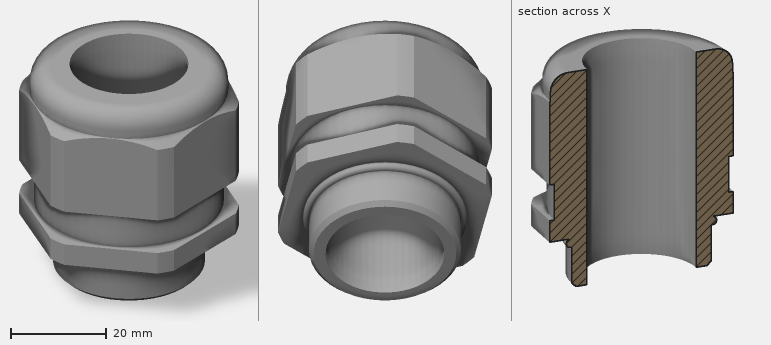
import cadquery as cq

total_height = 49.0
seal_bottom = 9.1
flange_bottom = 11.0
flange_top = 16.0
nut_bottom = 24.0
nut_top = 43.0

across_flats = 42.0
corner_diameter = 46.5
hex_turn = 30.0
thread_diameter = 32.0
seal_diameter = 34.5
body_diameter = 40.0
dome_diameter = 41.8
bore_diameter = 25.0

thread_chamfer = 1.0
dome_rounding = 4.0
nut_chamfer_width = (corner_diameter - dome_diameter) / 2
nut_chamfer_height = 1.8


def cylinder(diameter, bottom, top):
    return cq.Workplane("XY").workplane(offset=bottom).circle(diameter / 2).extrude(top - bottom)


def hexagon(bottom, top):
    """Hexagonal prism with flats facing +Y and -Y."""
    return (
        cq.Workplane("XY")
        .workplane(offset=bottom)
        .polygon(6, across_flats, circumscribed=True)
        .extrude(top - bottom)
        .rotate((0, 0, 0), (0, 0, 1), hex_turn)
    )


def entry_thread():
    return cylinder(thread_diameter, 0, seal_bottom).faces("<Z").chamfer(thread_chamfer)


def seal_ring():
    """Ring with a half-round outer edge, filling the gap under the flange."""
    rounding = (flange_bottom - seal_bottom) / 2
    outer_radius = seal_diameter / 2
    shoulder_radius = outer_radius - rounding
    return (
        cq.Workplane("XZ")
        .moveTo(bore_diameter / 2, seal_bottom)
        .lineTo(shoulder_radius, seal_bottom)
        .threePointArc((outer_radius, seal_bottom + rounding), (shoulder_radius, flange_bottom))
        .lineTo(bore_diameter / 2, flange_bottom)
        .close()
        .revolve(360, (0, 0, 0), (0, 1, 0))
    )


def hex_flange():
    """Hexagon whose corners are turned down to the corner diameter."""
    corner_limit = cylinder(corner_diameter, flange_bottom, flange_top)
    return hexagon(flange_bottom, flange_top).intersect(corner_limit)


def cap_nut():
    """Hexagon whose corners are turned down and bevelled at the top."""
    corner_limit = (
        cylinder(corner_diameter, nut_bottom, nut_top)
        .faces(">Z")
        .chamfer(nut_chamfer_height, nut_chamfer_width)
    )
    return hexagon(nut_bottom, nut_top).intersect(corner_limit)


def dome():
    return cylinder(dome_diameter, nut_top, total_height).faces(">Z").edges().fillet(dome_rounding)


body = cylinder(body_diameter, flange_top, nut_bottom)
solid_gland = entry_thread()
for section in (seal_ring(), hex_flange(), body, cap_nut(), dome()):
    solid_gland = solid_gland.union(section)

result = solid_gland.cut(cylinder(bore_diameter, 0, total_height))